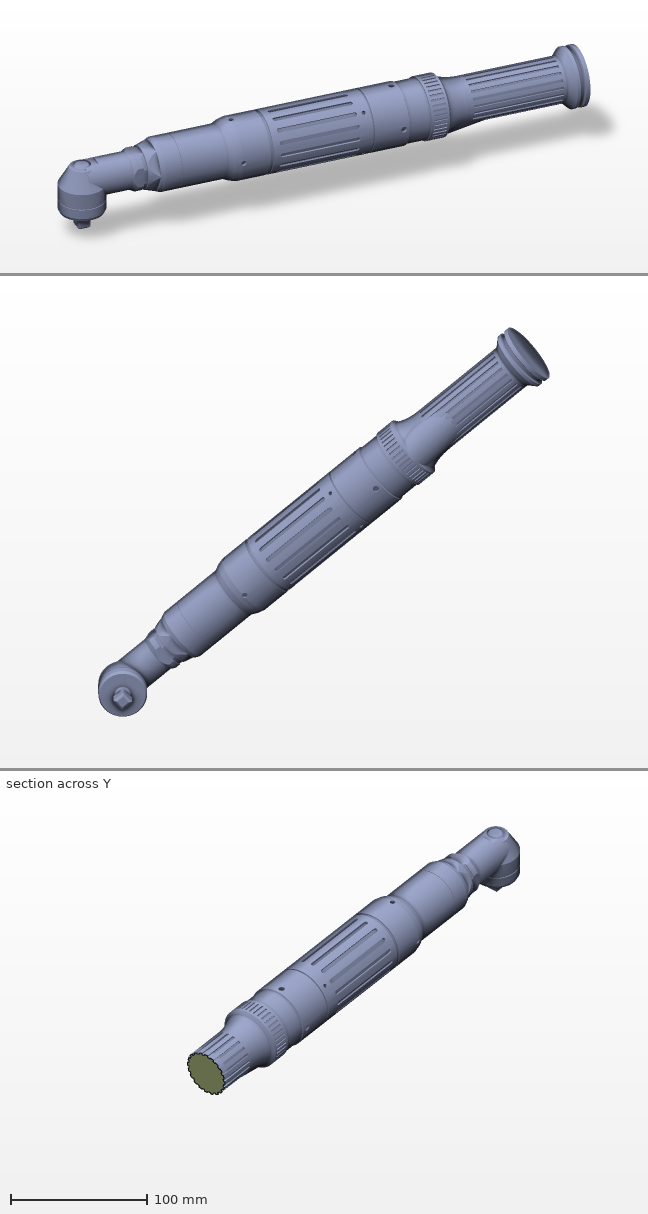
import cadquery as cq

LENGTH = 414.0

FLANGE_R = 23.5
FLANGE_GROOVE_R = 21.0
GRIP_R = 36.0 / 2
NECK_START_R = 18.2
NECK_MIDDLE_R = 19.5
NECK_END_R = 21.5
REAR_BARREL_R = 46.8 / 2
BARREL_R = 24.5
SHOULDER_MIDDLE_R = 23.0
FRONT_BARREL_R = 42.0 / 2
NUT_CORNER_R = 19.5
NUT_TIP_R = 33.5 / 2
COLLAR_R = 16.5
COLLAR_REAR_R = 15.7
TUBE_R = 14.5

REAR_LIP_END = 3.5
FLANGE_GROOVE_START = 4.0
FLANGE_GROOVE_END = 6.5
FRONT_LIP_START = 7.5
FRONT_LIP_END = 10.0
GRIP_START = 15.7
GRIP_END = 94.0
NECK_START = 97.5
NECK_MIDDLE = 104.7
NECK_END = 110.5
RING_START = 112.5
RING_END = 127.0
REAR_BARREL_END = 144.0
BARREL_START = 144.5
SLEEVE_START = 172.2
SLEEVE_END = 253.0
SHOULDER_START = 278.0
SHOULDER_MIDDLE = 282.8
FRONT_BARREL_START = 287.7
FRONT_BARREL_END = 338.0
NUT_START = 341.0
NUT_END = 350.0
COLLAR_STEP = 352.7
COLLAR_END = 357.3
TUBE_START = 361.0

FLUTE_COUNT = 20
FLUTE_PITCH = 360.0 / FLUTE_COUNT
FLUTE_START = 18.5
FLUTE_END = 90.5
FLUTE_WIDTH = 2.0
FLUTE_DEPTH = 1.2

INSET_STATION = 25.0
INSET_DIAMETER = 9.0
INSET_DEPTH = 1.2
INSET_BUTTON_DIAMETER = 6.0
INSET_HOLE_DIAMETER = 1.6
SHORT_FLUTE_START = 32.3

FAIRING_START = 74.5
FAIRING_R = 15.0
FAIRING_DROP = 3.0
FAIRING_SLOPE = 9.8
FAIRING_OVERLAP = 4.0

KNURL_COUNT = 40
KNURL_START = 114.3
KNURL_END = 125.0
KNURL_WIDTH = 1.45
KNURL_DEPTH = 1.05

SLOT_COUNT = 16
SLOT_START = 184.0
SLOT_END = 247.5
SLOT_WIDTH = 3.2
SLOT_DEPTH = 1.5

GROOVE_DEPTH = 1.0
SLEEVE_REAR_GROOVE = 1.2
SLEEVE_FRONT_GROOVE = 2.5
FRONT_BARREL_GROOVE = 0.5
FRONT_BARREL_GROOVE_STATION = 324.0

HOLE_DEPTH = 2.5
REAR_HOLE_STATION = 149.0
REAR_HOLE_DIAMETER = 4.5
SLEEVE_HOLE_STATION = 178.5
SLEEVE_HOLE_DIAMETER = 3.0
FRONT_HOLE_STATION = 277.0
FRONT_HOLE_DIAMETER = 4.0

NUT_ACROSS_FLATS = 34.0
COLLAR_ACROSS_FLATS = 29.5

HEAD_R = 36.0 / 2
HEAD_STATION = LENGTH - HEAD_R
HEAD_TOP_Z = 13.2
HEAD_SHOULDER_Z = 11.5
HEAD_SHOULDER_R = 9.5
HEAD_CONE_Z = -3.0
HEAD_GROOVE_Z = -15.0
HEAD_GROOVE_WIDTH = 1.0
HEAD_BOTTOM_Z = -25.5
HEAD_CHAMFER_R = 33.5 / 2
HEAD_CHAMFER = 2.5
CAP_R = 6.5
CAP_TOP_R = 9.5 / 2
TUBE_FLAT_START = 385.0

DRIVE_BOTTOM_Z = -39.7
DRIVE_COLLAR_R = 6.5
DRIVE_COLLAR_TIP_R = 11.0 / 2
DRIVE_COLLAR_Z = -29.0
DRIVE_WIDTH = 9.5
DRIVE_CHAMFER = 1.5
DETENT_DIAMETER = 3.0
DETENT_DEPTH = 2.0
DETENT_Z = -34.0

ORIGIN = (0, 0, 0)
X_AXIS = (1, 0, 0)
TOOL_AXIS = (0, 1, 0)
MINUS_X_SIDE = 270


def along_tool(outline):
    """Turn (station, radius) pairs into points of the YZ plane."""
    return [(-station, radius) for station, radius in outline]


def turn_body():
    """Revolve the stepped outline of the whole tool about Y."""
    rear_outline = [
        (0.0, 0.0),
        (0.0, FLANGE_R),
        (REAR_LIP_END, FLANGE_R),
        (FLANGE_GROOVE_START, FLANGE_GROOVE_R),
        (FLANGE_GROOVE_END, FLANGE_GROOVE_R),
        (FRONT_LIP_START, FLANGE_R),
        (FRONT_LIP_END, FLANGE_R),
        (GRIP_START, GRIP_R),
        (GRIP_END, GRIP_R),
        (NECK_START, NECK_START_R),
    ]
    front_outline = [
        (RING_START, BARREL_R),
        (RING_END, BARREL_R),
        (RING_END, REAR_BARREL_R),
        (REAR_BARREL_END, REAR_BARREL_R),
        (BARREL_START, BARREL_R),
        (SHOULDER_START, BARREL_R),
        (SHOULDER_MIDDLE, SHOULDER_MIDDLE_R),
        (FRONT_BARREL_START, FRONT_BARREL_R),
        (FRONT_BARREL_END, FRONT_BARREL_R),
        (NUT_START, NUT_CORNER_R),
        (NUT_END, NUT_TIP_R),
        (NUT_END, COLLAR_REAR_R),
        (COLLAR_STEP, COLLAR_REAR_R),
        (COLLAR_STEP, COLLAR_R),
        (COLLAR_END, COLLAR_R),
        (TUBE_START, TUBE_R),
        (HEAD_STATION, TUBE_R),
        (HEAD_STATION, 0.0),
    ]
    neck_middle = (-NECK_MIDDLE, NECK_MIDDLE_R)
    neck_end = (-NECK_END, NECK_END_R)
    profile = cq.Workplane("YZ").polyline(along_tool(rear_outline))
    profile = profile.threePointArc(neck_middle, neck_end)
    profile = profile.polyline(along_tool(front_outline), includeCurrent=True).close()
    return profile.revolve(360, (0, 0), (1, 0))


def around_axis(shape, angle):
    """Turn a shape that sits on the top (+Z) side about the tool axis."""
    return shape.rotate(ORIGIN, TOOL_AXIS, angle)


def ring(station, width, radius, depth):
    """Ring to cut a groove of the given depth around the body."""
    return cq.Workplane("XZ", (0, -station, 0)).circle(radius + depth).circle(radius - depth).extrude(width)


def channel(start, end, width, radius, depth):
    """Straight lengthwise cutter on the +Z side."""
    height = 2 * depth
    middle = -(start + end) / 2
    return cq.Workplane("XY").box(width, end - start, height).translate((0, middle, radius))


def rounded_slot(start, end, width, radius, depth):
    """Lengthwise cutter with round ends on the +Z side."""
    plane = cq.Workplane("XY", (0, -(start + end) / 2, radius - depth))
    return plane.slot2D(end - start, width, 90).extrude(2 * depth)


def radial_hole(station, diameter, radius):
    """Blind hole cutter on the +Z side."""
    plane = cq.Workplane("XY", (0, -station, radius - HOLE_DEPTH))
    return plane.circle(diameter / 2).extrude(2 * HOLE_DEPTH)


def cut_all(body, cutters):
    """Cut many tools from the body in one operation."""
    solids = [cutter.val() for cutter in cutters]
    return cq.Workplane(body.val().cut(*solids))


def add_fairing(body):
    """Tilted cylinder that swells the underside of the neck."""
    length = RING_START - FAIRING_START + FAIRING_OVERLAP
    fairing = cq.Workplane("XZ").circle(FAIRING_R).extrude(length)
    fairing = fairing.rotate(ORIGIN, X_AXIS, FAIRING_SLOPE).translate((0, -FAIRING_START, -FAIRING_DROP))
    return body.union(fairing)


def grip_flutes():
    cutters = []
    for index in range(FLUTE_COUNT):
        angle = (index + 0.5) * FLUTE_PITCH
        beside_inset = abs(angle - MINUS_X_SIDE) < FLUTE_PITCH
        start = SHORT_FLUTE_START if beside_inset else FLUTE_START
        flute = channel(start, FLUTE_END, FLUTE_WIDTH, GRIP_R, FLUTE_DEPTH)
        cutters.append(around_axis(flute, angle))
    return cutters


def grip_inset():
    """Ring-shaped recess with a drilled button in its middle."""
    plane = cq.Workplane("XY", (0, -INSET_STATION, GRIP_R - INSET_DEPTH))
    recess = plane.circle(INSET_DIAMETER / 2).circle(INSET_BUTTON_DIAMETER / 2).extrude(2 * INSET_DEPTH)
    hole = plane.circle(INSET_HOLE_DIAMETER / 2).extrude(2 * INSET_DEPTH)
    return [around_axis(recess, MINUS_X_SIDE), around_axis(hole, MINUS_X_SIDE)]


def knurl_grooves():
    groove = channel(KNURL_START, KNURL_END, KNURL_WIDTH, BARREL_R, KNURL_DEPTH)
    pitch = 360.0 / KNURL_COUNT
    return [around_axis(groove, (index + 0.5) * pitch) for index in range(KNURL_COUNT)]


def sleeve_slots():
    slot = rounded_slot(SLOT_START, SLOT_END, SLOT_WIDTH, BARREL_R, SLOT_DEPTH)
    pitch = 360.0 / SLOT_COUNT
    return [around_axis(slot, index * pitch) for index in range(SLOT_COUNT)]


def barrel_grooves():
    return [
        ring(SLEEVE_START, SLEEVE_REAR_GROOVE, BARREL_R, GROOVE_DEPTH),
        ring(SLEEVE_END, SLEEVE_FRONT_GROOVE, BARREL_R, GROOVE_DEPTH),
        ring(FRONT_BARREL_GROOVE_STATION, FRONT_BARREL_GROOVE, FRONT_BARREL_R, FRONT_BARREL_GROOVE),
    ]


def barrel_holes():
    """Four holes at each of three stations; the sleeve holes sit at 45 degrees."""
    rear = radial_hole(REAR_HOLE_STATION, REAR_HOLE_DIAMETER, BARREL_R)
    sleeve = radial_hole(SLEEVE_HOLE_STATION, SLEEVE_HOLE_DIAMETER, BARREL_R)
    front = radial_hole(FRONT_HOLE_STATION, FRONT_HOLE_DIAMETER, BARREL_R)
    cutters = []
    for angle in (0, 90, 180, 270):
        cutters.append(around_axis(rear, angle))
        cutters.append(around_axis(sleeve, angle + 45))
        cutters.append(around_axis(front, angle))
    return cutters


def wrench_flats(start, end, across_flats, count):
    """Cutters for evenly spaced flats, the first one facing +Z."""
    cutters = []
    for index in range(count):
        block = cq.Workplane("XY", (0, -(start + end) / 2, across_flats / 2))
        block = block.rect(2 * BARREL_R, end - start).extrude(BARREL_R)
        cutters.append(around_axis(block, index * 360.0 / count))
    return cutters


def turn_head():
    """Revolve the head about its vertical axis, without the square drive."""
    outline = [
        (0, HEAD_SHOULDER_Z),
        (HEAD_SHOULDER_R, HEAD_SHOULDER_Z),
        (HEAD_R, HEAD_CONE_Z),
        (HEAD_R, HEAD_GROOVE_Z),
        (HEAD_R - HEAD_GROOVE_WIDTH, HEAD_GROOVE_Z),
        (HEAD_R - HEAD_GROOVE_WIDTH, HEAD_GROOVE_Z - HEAD_GROOVE_WIDTH),
        (HEAD_R, HEAD_GROOVE_Z - HEAD_GROOVE_WIDTH),
        (HEAD_R, HEAD_BOTTOM_Z + HEAD_CHAMFER),
        (HEAD_CHAMFER_R, HEAD_BOTTOM_Z),
        (DRIVE_COLLAR_R, HEAD_BOTTOM_Z),
        (DRIVE_COLLAR_TIP_R, DRIVE_COLLAR_Z),
        (0, DRIVE_COLLAR_Z),
    ]
    return cq.Workplane("XZ").polyline(outline).close().revolve(360, (0, 0), (0, 1))


def head_cap():
    """Plug in the top of the head with a chamfered rim."""
    outline = [
        (0, 0),
        (CAP_R, 0),
        (CAP_R, HEAD_SHOULDER_Z),
        (CAP_TOP_R, HEAD_TOP_Z),
        (0, HEAD_TOP_Z),
    ]
    return cq.Workplane("XZ").polyline(outline).close().revolve(360, (0, 0), (0, 1))


def square_drive():
    height = DRIVE_COLLAR_Z - DRIVE_BOTTOM_Z
    drive = cq.Workplane("XY", (0, 0, DRIVE_BOTTOM_Z)).rect(DRIVE_WIDTH, DRIVE_WIDTH).extrude(height)
    drive = drive.edges("<Z").chamfer(DRIVE_CHAMFER)
    detent = cq.Workplane("XZ", (0, -DRIVE_WIDTH / 2, DETENT_Z)).circle(DETENT_DIAMETER / 2)
    return drive.cut(detent.extrude(-DETENT_DEPTH))


def flatten_tube(body):
    """Level the top of the tube where it meets the head, clear of the cap."""
    length = LENGTH - TUBE_FLAT_START
    block = cq.Workplane("XY", (0, -TUBE_FLAT_START - length / 2, HEAD_TOP_Z))
    body = body.cut(block.rect(2 * TUBE_R, length).extrude(TUBE_R))
    well = cq.Workplane("XY", (0, -HEAD_STATION, HEAD_SHOULDER_Z)).circle(CAP_R).extrude(TUBE_R)
    return body.cut(well)


def add_head(body):
    to_head = (0, -HEAD_STATION, 0)
    body = flatten_tube(body)
    for piece in (turn_head(), head_cap(), square_drive()):
        body = body.union(piece.translate(to_head))
    return body


body = turn_body()
body = cut_all(body, grip_flutes() + grip_inset())
body = add_fairing(body)
body = cut_all(body, knurl_grooves() + sleeve_slots() + barrel_grooves() + barrel_holes())
nut_cutters = wrench_flats(NUT_START, NUT_END, NUT_ACROSS_FLATS, 6)
collar_cutters = wrench_flats(NUT_END, TUBE_START, COLLAR_ACROSS_FLATS, 4)
body = cut_all(body, nut_cutters + collar_cutters)
result = add_head(body)